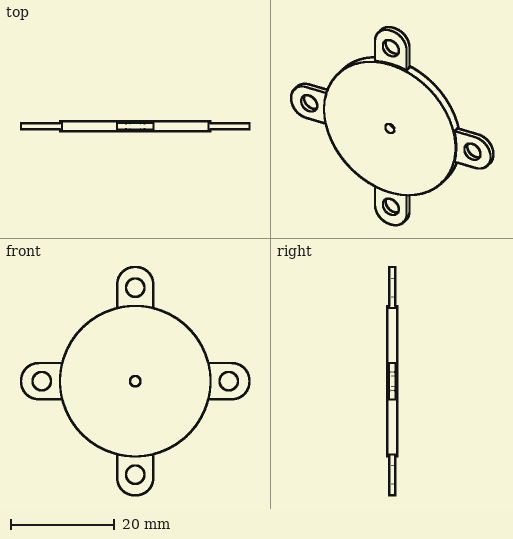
import cadquery as cq

disc_diameter = 29.0
disc_thickness = 2.0
center_hole_diameter = 2.0

overall_span = 44.0
tab_count = 4
tab_width = 7.0
tab_thickness = 1.2
tab_corner_radius = 3.4
tab_hole_diameter = 3.5
tab_hole_distance = 18.0

tab_root = disc_diameter / 4
tab_length = overall_span / 2 - tab_root


def plate_cylinder(diameter, thickness):
    """Cylinder along Y, centred on the origin."""
    return cq.Workplane("XZ").circle(diameter / 2).extrude(thickness / 2, both=True)


def make_tab():
    """Tab pointing along +X with a rounded tip and a screw hole."""
    blank = (
        cq.Workplane("XY")
        .box(tab_length, tab_thickness, tab_width)
        .translate((tab_root + tab_length / 2, 0, 0))
        .edges("|Y and >X")
        .fillet(tab_corner_radius)
    )
    hole = plate_cylinder(tab_hole_diameter, disc_thickness).translate((tab_hole_distance, 0, 0))
    return blank.cut(hole)


result = plate_cylinder(disc_diameter, disc_thickness)
tab = make_tab()
for index in range(tab_count):
    angle = index * 360 / tab_count
    result = result.union(tab.rotate((0, 0, 0), (0, 1, 0), angle))

result = result.cut(plate_cylinder(center_hole_diameter, disc_thickness))